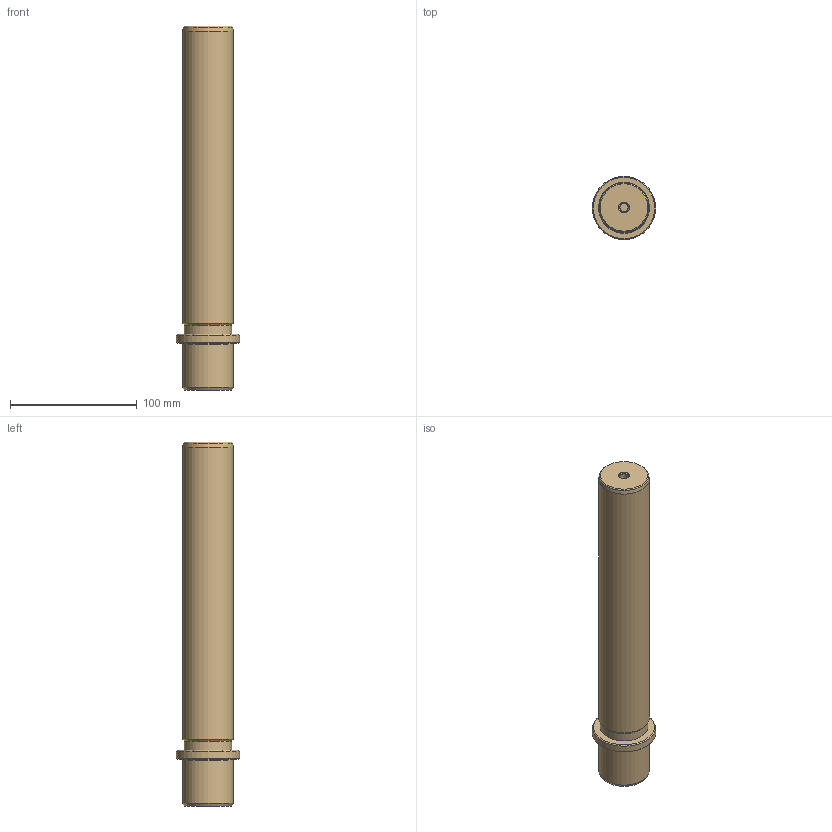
import cadquery as cq

total_length = 287.0
shaft_diameter = 40.0

shank_length = 37.0
shank_chamfer_radial = 1.2
shank_chamfer_length = 2.0
undercut_length = 1.0
undercut_depth = 0.25

collar_diameter = 50.0
collar_thickness = 7.0
collar_chamfer = 0.8

neck_diameter = 37.6
neck_length = 8.5
neck_cone_length = 1.5

lead_tip_diameter = 39.0
lead_length = 4.0
lead_chamfer = 0.8

hole_diameter = 6.6
hole_mouth_diameter = 8.4
hole_depth = 20.0

shaft_radius = shaft_diameter / 2
collar_radius = collar_diameter / 2
neck_radius = neck_diameter / 2
lead_tip_radius = lead_tip_diameter / 2
undercut_radius = shaft_radius - undercut_depth
collar_top = shank_length + collar_thickness
neck_top = collar_top + neck_length


def make_pillar():
    """Revolve the stepped half profile, drawn from the bottom end upwards."""
    profile = (
        cq.Workplane("XZ")
        .moveTo(0, 0)
        .lineTo(shaft_radius - shank_chamfer_radial, 0)
        .lineTo(shaft_radius, shank_chamfer_length)
        .lineTo(shaft_radius, shank_length - undercut_length)
        .lineTo(undercut_radius, shank_length - undercut_length)
        .lineTo(undercut_radius, shank_length)
        .lineTo(collar_radius - collar_chamfer, shank_length)
        .lineTo(collar_radius, shank_length + collar_chamfer)
        .lineTo(collar_radius, collar_top - collar_chamfer)
        .lineTo(collar_radius - collar_chamfer, collar_top)
        .lineTo(neck_radius, collar_top)
        .lineTo(neck_radius, neck_top - neck_cone_length)
        .lineTo(shaft_radius, neck_top)
        .lineTo(shaft_radius, total_length - lead_length)
        .lineTo(lead_tip_radius, total_length - lead_chamfer)
        .lineTo(lead_tip_radius - lead_chamfer, total_length)
        .lineTo(0, total_length)
        .close()
    )
    return profile.revolve(360, (0, 0, 0), (0, 1, 0))


def make_top_hole():
    """Blind axial hole with a 45 degree countersunk mouth."""
    radius = hole_diameter / 2
    mouth_radius = hole_mouth_diameter / 2
    countersink_depth = mouth_radius - radius
    profile = (
        cq.Workplane("XZ")
        .moveTo(0, total_length)
        .lineTo(mouth_radius, total_length)
        .lineTo(radius, total_length - countersink_depth)
        .lineTo(radius, total_length - hole_depth)
        .lineTo(0, total_length - hole_depth)
        .close()
    )
    return profile.revolve(360, (0, 0, 0), (0, 1, 0))


result = make_pillar().cut(make_top_hole())